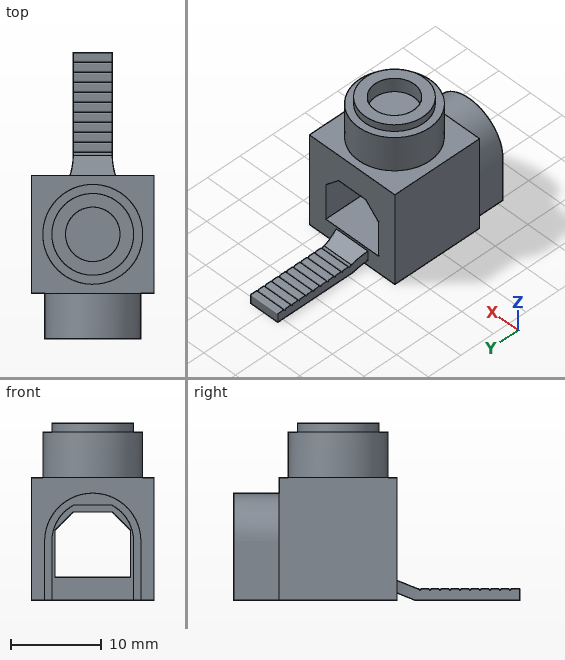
import cadquery as cq
import math


block_width = 13.5
block_length = 13.0
block_height = 13.5

collar_diameter = 11.0
collar_height = 5.0
lip_diameter = 9.0
lip_height = 1.0
screw_recess_diameter = 6.0
screw_recess_depth = 2.0

hood_length = 5.0
hood_wall = 0.8
hood_inner_radius = 4.5
hood_outer_radius = hood_inner_radius + hood_wall
hood_arch_center_z = 6.5
hood_ceiling_z = 10.5
hood_recess_depth = 1.5

passage_width = 8.3
passage_floor_z = 2.55
passage_ceiling_z = 9.7
passage_corner = 2.0

tongue_length = 13.5
tongue_width = 4.3
tongue_root_width = 5.0
tongue_thickness = 1.3
tongue_flat_length = 11.3
tongue_straight_length = 11.2
tongue_bend_angle = 22.0

groove_count = 10
groove_pitch = 1.1
groove_width = 0.3
groove_depth = 0.22
grip_edge_radius = 0.1

tongue_tip_y = block_length + tongue_length
bend_y = tongue_tip_y - tongue_flat_length
flare_y = tongue_tip_y - tongue_straight_length


def arch(radius, length):
    """Upright arch with straight legs, standing on the bottom plane, from the hood's tip backward."""
    return (
        cq.Workplane("XZ", origin=(0, -hood_length, 0))
        .moveTo(-radius, 0)
        .lineTo(-radius, hood_arch_center_z)
        .threePointArc((0, hood_arch_center_z + radius), (radius, hood_arch_center_z))
        .lineTo(radius, 0)
        .close()
        .extrude(-length)
    )


def make_hood_opening():
    """Arched opening with a flat ceiling, through the hood and a little way into the block."""
    below_ceiling = cq.Workplane("XY").box(
        2 * hood_inner_radius, 2 * hood_length, hood_ceiling_z, centered=(True, True, False)
    )
    return arch(hood_inner_radius, hood_length + hood_recess_depth).intersect(below_ceiling)


def make_collar():
    """Stepped round collar above the middle of the block, with the blind screw recess."""
    return (
        cq.Workplane("XY", origin=(0, block_length / 2, block_height))
        .circle(collar_diameter / 2)
        .extrude(collar_height)
        .faces(">Z")
        .workplane()
        .circle(lip_diameter / 2)
        .extrude(lip_height)
        .faces(">Z")
        .workplane()
        .circle(screw_recess_diameter / 2)
        .cutBlind(-screw_recess_depth)
    )


def make_passage():
    """Wire passage: a rectangle with its two upper corners cut at 45 degrees."""
    return (
        cq.Workplane("XY", origin=(0, 0, passage_floor_z))
        .box(
            passage_width,
            block_length,
            passage_ceiling_z - passage_floor_z,
            centered=(True, False, False),
        )
        .edges("|Y and >Z")
        .chamfer(passage_corner)
    )


def make_housing():
    block = cq.Workplane("XY").box(
        block_width, block_length, block_height, centered=(True, False, False)
    )
    hood = arch(hood_outer_radius, hood_length)
    return block.union(make_collar()).union(hood).cut(make_hood_opening()).cut(make_passage())


def make_tongue_strip():
    """Side profile of the tongue, bent upward toward the block, over the full root width."""
    bend = math.radians(tongue_bend_angle)
    bottom_bend_y = bend_y - tongue_thickness * math.tan(bend / 2)
    root_bottom_z = (bottom_bend_y - block_length) * math.tan(bend)
    root_top_z = tongue_thickness + (bend_y - block_length) * math.tan(bend)
    return (
        cq.Workplane("YZ")
        .polyline(
            [
                (tongue_tip_y, 0),
                (tongue_tip_y, tongue_thickness),
                (bend_y, tongue_thickness),
                (block_length, root_top_z),
                (block_length, root_bottom_z),
                (bottom_bend_y, 0),
            ]
        )
        .close()
        .extrude(tongue_root_width / 2, both=True)
    )


def make_tongue_outline():
    """Outline of the tongue from above: parallel sides that flare out in arcs at the root."""
    half_width = tongue_width / 2
    half_root = tongue_root_width / 2
    flare_run = flare_y - block_length
    flare_rise = half_root - half_width
    flare_radius = (flare_run**2 + flare_rise**2) / (2 * flare_rise)
    return (
        cq.Workplane("XY")
        .moveTo(half_width, tongue_tip_y)
        .lineTo(half_width, flare_y)
        .radiusArc((half_root, block_length), -flare_radius)
        .lineTo(-half_root, block_length)
        .radiusArc((-half_width, flare_y), -flare_radius)
        .lineTo(-half_width, tongue_tip_y)
        .close()
        .extrude(block_height)
    )


def make_groove(distance_from_tip):
    """V-shaped bar that cuts one groove across the top of the tongue."""
    center_y = tongue_tip_y - distance_from_tip
    return (
        cq.Workplane("YZ")
        .moveTo(center_y - groove_width / 2, tongue_thickness)
        .lineTo(center_y, tongue_thickness - groove_depth)
        .lineTo(center_y + groove_width / 2, tongue_thickness)
        .close()
        .extrude(tongue_width, both=True)
    )


def round_grip_edges(tongue):
    """Round the crosswise edges on top of the flat part, from the tip to the last groove."""
    last_rim_y = tongue_tip_y - groove_count * groove_pitch - groove_width / 2
    margin = grip_edge_radius / 2
    grip_top = cq.selectors.BoxSelector(
        (-tongue_width, last_rim_y - margin, tongue_thickness - margin),
        (tongue_width, tongue_tip_y + margin, tongue_thickness + margin),
    )
    return tongue.edges("|X").edges(grip_top).fillet(grip_edge_radius)


def make_tongue():
    tongue = make_tongue_strip().intersect(make_tongue_outline())
    for index in range(1, groove_count + 1):
        tongue = tongue.cut(make_groove(index * groove_pitch))
    return round_grip_edges(tongue)


housing = make_housing()
tongue = make_tongue()

result = cq.Compound.makeCompound([housing.val(), tongue.val()])